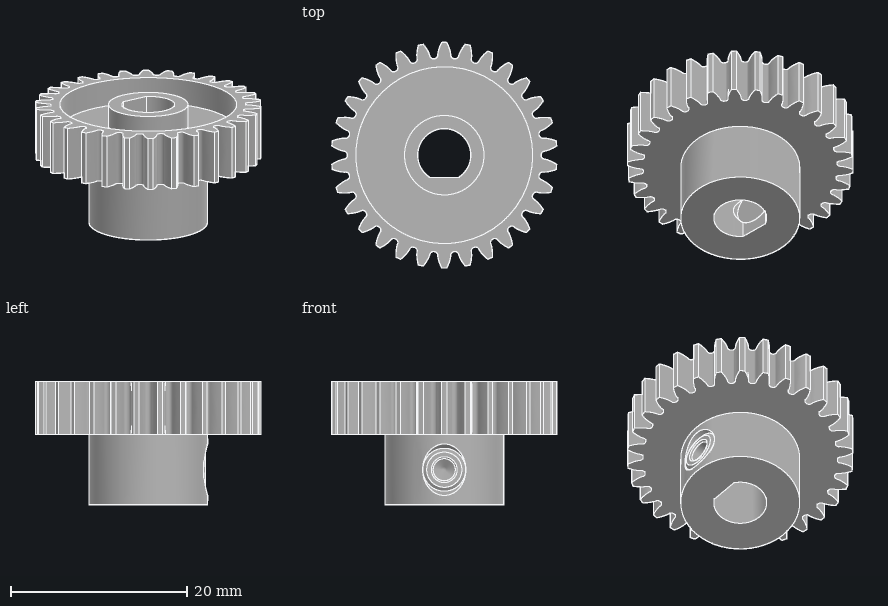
import cadquery as cq
import math

teeth = 30
outer_diameter = 25.6
module = outer_diameter / (teeth + 2)
pressure_angle = math.radians(20)
dedendum_factor = 1.25
root_land_width = 0.08
flank_points = 7

tip_radius = outer_diameter / 2
pitch_radius = module * teeth / 2
root_radius = pitch_radius - dedendum_factor * module
base_radius = pitch_radius * math.cos(pressure_angle)
tooth_pitch = 2 * math.pi / teeth

gear_thickness = 6.05
hub_height = 7.95
hub_diameter = 13.5
total_height = hub_height + gear_thickness
recess_diameter = 20.05
boss_diameter = 9.0
recess_depth = 3.0

bore_diameter = 6.0
bore_flat_distance = 2.5

screw_axis_height = 4.0
screw_diameter = 4.86
screw_face_diameter = 4.0
screw_face_distance = 6.5
screw_bevel_angle = math.radians(30)
screw_bevel_depth = (screw_diameter - screw_face_diameter) / 2 * math.tan(screw_bevel_angle)

socket_mouth_diameter = 2.92
socket_diameter = 2.5
socket_depth = 1.8
socket_bevel = (socket_mouth_diameter - socket_diameter) / 2
socket_cone_height = 0.72

countersink_diameter = 5.84


def involute(angle):
    """Polar angle gained by the involute at a given pressure angle."""
    return math.tan(angle) - angle


def polar(radius, angle):
    return (radius * math.cos(angle), radius * math.sin(angle))


def flank(tooth_angle, side):
    """Points along one involute flank from the base circle to the tip; side is -1 or 1."""
    points = []
    for i in range(flank_points):
        radius = base_radius + (tip_radius - base_radius) * i / (flank_points - 1)
        local_angle = math.acos(base_radius / radius)
        half_width = tooth_pitch / 4 + involute(pressure_angle) - involute(local_angle)
        points.append(polar(radius, tooth_angle + side * half_width))
    return points


def root_points(gap_angle):
    """Points along a tooth gap: fillet middle, land start, land end, fillet middle.

    Each fillet is an arc that leaves the flat land tangentially and meets a flank at the base circle.
    """
    half_land = root_land_width / 2
    gap_half_angle = tooth_pitch / 4 - involute(pressure_angle)
    run = base_radius * math.sin(gap_half_angle) - half_land
    rise = base_radius * math.cos(gap_half_angle) - root_radius
    fillet_radius = (run**2 + rise**2) / (2 * rise)
    half_sweep = math.atan(rise / run)
    middle_across = half_land + fillet_radius * math.sin(half_sweep)
    middle_out = root_radius + fillet_radius * (1 - math.cos(half_sweep))

    def place(across, out):
        return polar(math.hypot(across, out), gap_angle + math.atan2(across, out))

    return [
        place(-middle_across, middle_out),
        place(-half_land, root_radius),
        place(half_land, root_radius),
        place(middle_across, middle_out),
    ]


def toothed_disc():
    """Gear blank: each tooth is two involute flanks and a tip arc, with a filleted root after it."""
    first_angle = math.pi / 2
    outline = cq.Workplane("XY").workplane(offset=hub_height).moveTo(*flank(first_angle, -1)[0])
    for i in range(teeth):
        angle = first_angle + i * tooth_pitch
        rising = flank(angle, -1)
        falling = flank(angle, 1)[::-1]
        next_start = flank(angle + tooth_pitch, -1)[0]
        outline = outline.spline(rising[1:], includeCurrent=True)
        outline = outline.threePointArc(polar(tip_radius, angle), falling[0])
        outline = outline.spline(falling[1:], includeCurrent=True)
        fillet_in, land_start, land_end, fillet_out = root_points(angle + tooth_pitch / 2)
        outline = outline.threePointArc(fillet_in, land_start)
        outline = outline.lineTo(*land_end)
        outline = outline.threePointArc(fillet_out, next_start)
    return outline.close().extrude(gear_thickness)


def face_recess():
    """Ring-shaped pocket in the top face, leaving a boss round the bore."""
    return (
        cq.Workplane("XY")
        .workplane(offset=total_height - recess_depth)
        .circle(recess_diameter / 2)
        .circle(boss_diameter / 2)
        .extrude(recess_depth)
    )


def d_bore():
    """Through bore with one side cut off by the flat."""
    bore = cq.Workplane("XY").circle(bore_diameter / 2).extrude(total_height)
    above_flat = (
        cq.Workplane("XY")
        .box(bore_diameter, bore_diameter, total_height, centered=(True, False, False))
        .translate((0, -bore_flat_distance, 0))
    )
    return bore.intersect(above_flat)


def about_screw_axis(half_profile):
    """Revolve (radius, distance from the gear axis) points about the screw axis, towards -Y."""
    profile = cq.Workplane("XY").polyline([(radius, -distance) for radius, distance in half_profile])
    solid = profile.close().revolve(360, (0, 0, 0), (0, 1, 0))
    return solid.translate((0, 0, screw_axis_height))


def screw_hole():
    """Radial hole from the bore to the outside of the hub, opening into the countersink."""
    screw_radius = screw_diameter / 2
    hub_radius = hub_diameter / 2
    countersink_start = hub_radius - (countersink_diameter - screw_diameter) / 2
    return about_screw_axis([
        (0, 0),
        (screw_radius, 0),
        (screw_radius, countersink_start),
        (countersink_diameter / 2, hub_radius),
        (0, hub_radius),
    ])


def make_gear():
    """Gear with its hub, recess, bore and screw hole."""
    hub = cq.Workplane("XY").circle(hub_diameter / 2).extrude(hub_height)
    body = toothed_disc().union(hub).cut(face_recess()).cut(d_bore()).cut(screw_hole())
    return body.solids()


def make_set_screw():
    """Screw with a bevelled outer end and the socket in it."""
    socket_end = screw_face_distance - socket_depth
    return about_screw_axis([
        (0, bore_flat_distance),
        (screw_diameter / 2, bore_flat_distance),
        (screw_diameter / 2, screw_face_distance - screw_bevel_depth),
        (screw_face_diameter / 2, screw_face_distance),
        (socket_mouth_diameter / 2, screw_face_distance),
        (socket_diameter / 2, screw_face_distance - socket_bevel),
        (socket_diameter / 2, socket_end),
        (0, socket_end - socket_cone_height),
    ])


gear = make_gear()
set_screw = make_set_screw()

result = cq.Compound.makeCompound([gear.val(), set_screw.val()])